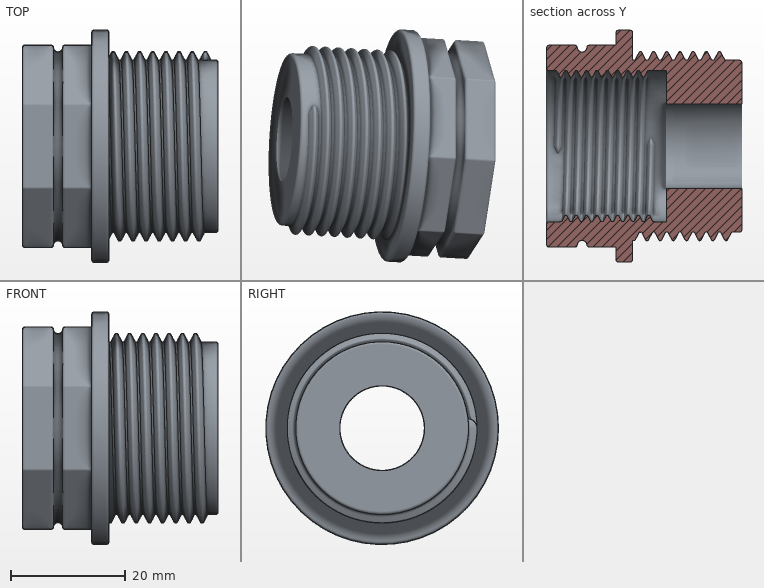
import math

import cadquery as cq

TOTAL_LENGTH = 34.3
HEAD_LENGTH = 12.15
FLANGE_THICKNESS = 3.0
FLANGE_END = HEAD_LENGTH + FLANGE_THICKNESS

ACROSS_FLATS = 35.5
HEAD_SIDES = 8
FLANGE_DIAMETER = 40.8
EDGE_ROUND = 0.5

GROOVE_CENTRE_X = 6.25
GROOVE_RADIUS = 0.8
GROOVE_DEPTH = 1.2

FLANK_ANGLE = math.radians(27.5)
CREST_RADIUS_RATIO = 0.137329
MALE_MAJOR_RADIUS = 33.249 / 2
MALE_MINOR_RADIUS = 30.291 / 2
MALE_PITCH = 2.309
MALE_TURNS = 8
MALE_START_X = 13.6
FEMALE_MAJOR_RADIUS = 26.441 / 2
FEMALE_MINOR_RADIUS = 24.117 / 2
FEMALE_PITCH = 1.814
FEMALE_TURNS = 9
FEMALE_START_X = 2.05
THREAD_EMBED = 0.2
JOIN_TOLERANCE = 0.0005

BORE_DEPTH = 21.0
THROUGH_DIAMETER = 14.8


def cylinder(x_start, x_end, radius):
    """Round bar on the X axis."""
    return cq.Workplane("YZ").workplane(offset=x_start).circle(radius).extrude(x_end - x_start)


def make_head():
    """Octagonal head with rounded edges and a groove around its middle."""
    across_corners = ACROSS_FLATS / math.cos(math.pi / HEAD_SIDES)
    head = cq.Workplane("YZ").polygon(HEAD_SIDES, across_corners).extrude(HEAD_LENGTH)
    head = head.rotate((0, 0, 0), (1, 0, 0), 180 / HEAD_SIDES)
    head = head.edges("|X").fillet(EDGE_ROUND)
    head = head.faces("<X").edges().fillet(EDGE_ROUND)
    return round_groove_edges(head.cut(make_groove_ring()))


def make_groove_ring():
    """U-shaped ring that cuts the groove."""
    bottom = ACROSS_FLATS / 2 - GROOVE_DEPTH
    outside = FLANGE_DIAMETER / 2
    left = GROOVE_CENTRE_X - GROOVE_RADIUS
    right = GROOVE_CENTRE_X + GROOVE_RADIUS
    return (
        cq.Workplane("XY")
        .moveTo(left, outside)
        .lineTo(left, bottom + GROOVE_RADIUS)
        .threePointArc((GROOVE_CENTRE_X, bottom), (right, bottom + GROOVE_RADIUS))
        .lineTo(right, outside)
        .close()
        .revolve(360, (0, 0, 0), (1, 0, 0))
    )


def round_groove_edges(head):
    """Round the straight rims where the groove meets the flats."""
    margin = GROOVE_RADIUS + EDGE_ROUND
    low = (GROOVE_CENTRE_X - margin, -FLANGE_DIAMETER, -FLANGE_DIAMETER)
    high = (GROOVE_CENTRE_X + margin, FLANGE_DIAMETER, FLANGE_DIAMETER)
    rims = head.edges("%LINE").edges(cq.selectors.BoxSelector(low, high))
    return rims.fillet(EDGE_ROUND)


def make_flange():
    """Round flange with rounded rims."""
    return cylinder(HEAD_LENGTH, FLANGE_END, FLANGE_DIAMETER / 2).edges().fillet(EDGE_ROUND)


def make_shank():
    """Core of the male thread, with a rounded outer end."""
    shank = cylinder(HEAD_LENGTH, TOTAL_LENGTH, MALE_MINOR_RADIUS)
    return shank.faces(">X").edges().fillet(EDGE_ROUND)


def thread_profile(x, root_radius, crest_radius, pitch):
    """Ridge section at +Y: a tooth with a rounded crest and a foot sunk into the wall."""
    toward_crest = math.copysign(1, crest_radius - root_radius)
    rounding = CREST_RADIUS_RATIO * pitch
    sharp_height = abs(crest_radius - root_radius) + rounding / math.sin(FLANK_ANGLE) - rounding
    half_root = sharp_height * math.tan(FLANK_ANGLE)
    half_crest = rounding * math.cos(FLANK_ANGLE)
    crest_drop = rounding * (1 - math.sin(FLANK_ANGLE))
    foot = root_radius - toward_crest * THREAD_EMBED
    shoulder = crest_radius - toward_crest * crest_drop
    return (
        cq.Workplane("XY")
        .moveTo(x - half_root, foot)
        .lineTo(x - half_root, root_radius)
        .lineTo(x - half_crest, shoulder)
        .threePointArc((x, crest_radius), (x + half_crest, shoulder))
        .lineTo(x + half_root, root_radius)
        .lineTo(x + half_root, foot)
        .close()
    )


def thread_turn(start_x, root_radius, crest_radius, pitch):
    """One right-handed turn of the ridge, starting and ending at +Y."""
    helix = cq.Wire.makeHelix(pitch, pitch, root_radius)
    helix = helix.rotate(cq.Vector(), cq.Vector(0, 1, 0), 90)
    helix = helix.rotate(cq.Vector(), cq.Vector(1, 0, 0), 90)
    helix = helix.translate(cq.Vector(start_x, 0, 0))
    profile = thread_profile(start_x, root_radius, crest_radius, pitch)
    return profile.sweep(cq.Workplane(helix), isFrenet=True)


def thread_end(x, root_radius, crest_radius, pitch, side):
    """Rounded end of the ridge: its section rolled over into the wall, toward +Z or -Z by side."""
    toward_crest = math.copysign(1, crest_radius - root_radius)
    foot = root_radius - toward_crest * THREAD_EMBED
    profile = thread_profile(x, root_radius, crest_radius, pitch)
    return profile.revolve(90, (0, foot, 0), (side * toward_crest, foot, 0))


def add_thread(body, start_x, root_radius, crest_radius, pitch, turns):
    """Join a helical ridge to a round wall of the root radius."""
    end_x = start_x + turns * pitch
    turn_starts = [start_x + turn * pitch for turn in range(turns)]
    pieces = [thread_turn(x, root_radius, crest_radius, pitch) for x in turn_starts]
    pieces.append(thread_end(start_x, root_radius, crest_radius, pitch, -1))
    pieces.append(thread_end(end_x, root_radius, crest_radius, pitch, 1))
    for piece in pieces:
        body = body.union(piece, clean=False, tol=JOIN_TOLERANCE)
    return body


def make_bore():
    """Blind bore with a rounded mouth, and the smaller hole through its floor."""
    mouth_radius = FEMALE_MAJOR_RADIUS + EDGE_ROUND
    bore = (
        cq.Workplane("XY")
        .lineTo(0, mouth_radius)
        .radiusArc((EDGE_ROUND, FEMALE_MAJOR_RADIUS), -EDGE_ROUND)
        .lineTo(BORE_DEPTH, FEMALE_MAJOR_RADIUS)
        .lineTo(BORE_DEPTH, 0)
        .close()
        .revolve(360, (0, 0, 0), (1, 0, 0))
    )
    return bore.union(cylinder(0, TOTAL_LENGTH, THROUGH_DIAMETER / 2))


shank = add_thread(
    make_shank(), MALE_START_X, MALE_MINOR_RADIUS, MALE_MAJOR_RADIUS, MALE_PITCH, MALE_TURNS
)
outside = make_head().union(make_flange()).union(shank)
bored = outside.cut(make_bore())
result = add_thread(
    bored, FEMALE_START_X, FEMALE_MAJOR_RADIUS, FEMALE_MINOR_RADIUS, FEMALE_PITCH, FEMALE_TURNS
)